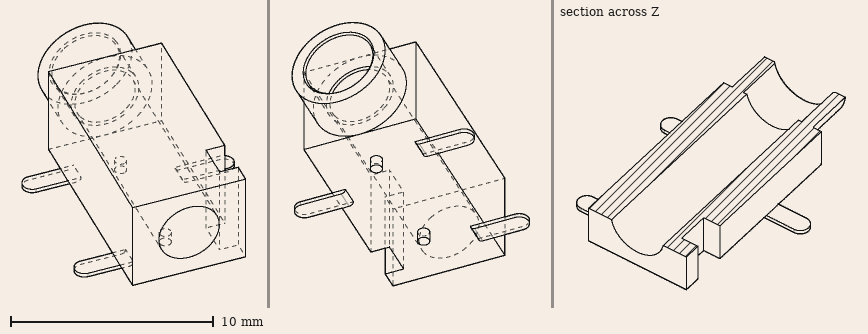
import cadquery as cq


total_length = 14.0
barrel_length = 2.7
barrel_diameter = 5.0
housing_width = 6.0
housing_height = barrel_diameter
housing_length = total_length - barrel_length
axis_height = housing_height / 2

entry_diameter = 3.6
entry_depth = barrel_length
through_diameter = 3.2
mouth_chamfer = 0.1

notch_start = 11.2
notch_length = 1.8
notch_depth = 1.0

peg_diameter = 0.6
peg_length = 0.6
peg_positions = [4.8, 10.8]

tab_width = 1.02
tab_thickness = 0.22
tab_reach = 5.21
tab_inner_end = 2.3
tab_placements = [(4.8, -1), (11.8, -1), (6.8, 1)]


def axial_cylinder(diameter, start, length):
    """Cylinder on the socket axis, running in +X from start."""
    plane = cq.Plane(origin=(start, 0, axis_height), xDir=(0, 1, 0), normal=(1, 0, 0))
    return cq.Workplane(plane).circle(diameter / 2).extrude(length)


def make_mouth():
    """Cone that chamfers the open end of the socket."""
    cone = cq.Solid.makeCone(
        entry_diameter / 2 + mouth_chamfer,
        entry_diameter / 2,
        mouth_chamfer,
        pnt=cq.Vector(0, 0, axis_height),
        dir=cq.Vector(1, 0, 0),
    )
    return cq.Workplane(cone)


def make_notch():
    return (
        cq.Workplane("XY")
        .moveTo(notch_start, housing_width / 2 - notch_depth)
        .rect(notch_length, notch_depth, centered=False)
        .extrude(housing_height)
    )


def make_housing():
    block = (
        cq.Workplane("XY")
        .box(housing_length, housing_width, housing_height, centered=(False, True, False))
        .translate((barrel_length, 0, 0))
    )
    pegs = (
        cq.Workplane("XY")
        .pushPoints([(x, 0) for x in peg_positions])
        .circle(peg_diameter / 2)
        .extrude(-peg_length)
    )
    body = block.union(axial_cylinder(barrel_diameter, 0, barrel_length)).union(pegs)
    body = body.cut(axial_cylinder(through_diameter, 0, total_length))
    body = body.cut(axial_cylinder(entry_diameter, 0, entry_depth))
    return body.cut(make_mouth()).cut(make_notch())


def make_tab(x_position, side):
    """Tab lying against the underside, pointing to +Y (side = 1) or -Y (side = -1)."""
    half_width = tab_width / 2
    straight_end = tab_reach - half_width
    strip = (
        cq.Workplane("XY")
        .moveTo(-half_width, tab_inner_end)
        .lineTo(-half_width, straight_end)
        .threePointArc((0, tab_reach), (half_width, straight_end))
        .lineTo(half_width, tab_inner_end)
        .close()
        .extrude(-tab_thickness)
    )
    profile = (
        cq.Workplane("YZ", origin=(-half_width, 0, 0))
        .moveTo(tab_inner_end, 0)
        .radiusArc((tab_inner_end + tab_thickness, -tab_thickness), -tab_thickness)
        .lineTo(tab_reach, -tab_thickness)
        .lineTo(tab_reach, 0)
        .close()
        .extrude(tab_width)
    )
    tab = strip.intersect(profile)
    if side < 0:
        tab = tab.rotate((0, 0, 0), (0, 0, 1), 180)
    return tab.translate((x_position, 0, 0))


housing = make_housing()
tabs = [make_tab(x_position, side) for x_position, side in tab_placements]

result = cq.Compound.makeCompound([housing.val(), *[tab.val() for tab in tabs]])